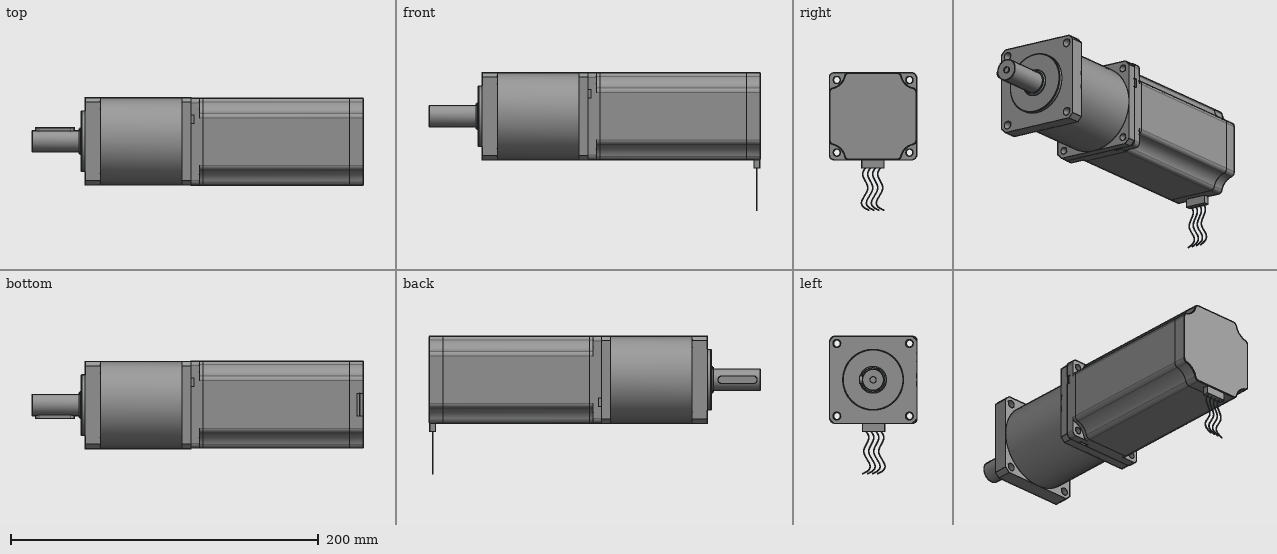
import cadquery as cq


overall_length = 215.5
collar_face_x = 30.5
pilot_face_x = 32.0
front_flange_x = 34.5
barrel_x = 44.5
rear_flange_x = 97.5
motor_x = 103.5
stator_x = 111.2
rear_cap_x = 206.5

gearbox_side = 56.9
gearbox_corner_chamfer = 3.0
barrel_diameter = gearbox_side
pilot_diameter = 39.7
pilot_chamfer = 0.5
collar_diameter = 17.5
collar_chamfer = 0.9
bolt_spacing = 47.2
front_hole_diameter = 5.2
rear_hole_diameter = 4.5

shaft_diameter = 14.0
shaft_end_x = barrel_x
shaft_tip_chamfer = 0.2
center_hole_diameter = 4.0
center_hole_depth = 0.6
key_start_x = 2.2
key_length = 25.5
key_width = 5.0
key_bottom_y = 4.0
key_top_y = 8.8

motor_side = 56.7
motor_offset_y = -0.32
rear_edge_chamfer = 0.5
front_cap_corner_radius = 3.0
groove_start_x = 108.8
groove_radius = 10.1
groove_edge_radius = 3.0
notch_length_x = 2.0
notch_width = 5.5
notch_offset = 14.7
notch_depth = 1.0

plug_length_x = 3.9
plug_width = 14.7
plug_height = 5.4
plug_center_x = 213.1
wire_diameter = 0.5
wire_count = 4
wire_pitch = 3.2
wire_end_z = -61.0
wire_bends = [(0, 0), (-1.7, 0.16), (1.5, 0.47), (-2.5, 0.82), (2.2, 1)]


def square_prism(side, start_x, end_x):
    """A square bar centred on the axis."""
    return cq.Workplane("YZ").workplane(offset=start_x).rect(side, side).extrude(end_x - start_x)


def disc(diameter, start_x, end_x):
    """A cylinder centred on the axis."""
    return cq.Workplane("YZ").workplane(offset=start_x).circle(diameter / 2).extrude(end_x - start_x)


def bolt_cylinders(diameter, start_x, end_x):
    """Four cylinders on the square bolt pattern."""
    return (
        cq.Workplane("YZ").workplane(offset=start_x)
        .rect(bolt_spacing, bolt_spacing, forConstruction=True).vertices()
        .circle(diameter / 2).extrude(end_x - start_x)
    )


def gearbox_flange(start_x, end_x, hole_diameter):
    """A square plate with chamfered corners and four bolt holes."""
    plate = square_prism(gearbox_side, start_x, end_x).edges("|X").chamfer(gearbox_corner_chamfer)
    return plate.cut(bolt_cylinders(hole_diameter, start_x, end_x))


def make_gearbox():
    """Two flanges joined by a round barrel, with a pilot, a collar and a bore for the shaft."""
    collar = disc(collar_diameter, collar_face_x, front_flange_x).faces("<X").chamfer(collar_chamfer)
    pilot = disc(pilot_diameter, pilot_face_x, front_flange_x).faces("<X").chamfer(pilot_chamfer)
    return (
        gearbox_flange(front_flange_x, barrel_x, front_hole_diameter)
        .union(disc(barrel_diameter, barrel_x, rear_flange_x))
        .union(gearbox_flange(rear_flange_x, motor_x, rear_hole_diameter))
        .union(pilot)
        .union(collar)
        .cut(disc(shaft_diameter, collar_face_x, shaft_end_x))
    )


def make_key():
    """A parallel key with round ends, standing out of the shaft towards +Y."""
    return (
        cq.Workplane("XZ", origin=(key_start_x + key_length / 2, key_bottom_y, 0))
        .slot2D(key_length, key_width)
        .extrude(key_bottom_y - key_top_y)
    )


def make_shaft(key):
    """The output shaft, with a centre hole in its tip and a seat for the key."""
    return (
        disc(shaft_diameter, 0, shaft_end_x)
        .faces("<X").chamfer(shaft_tip_chamfer)
        .cut(disc(center_hole_diameter, 0, center_hole_depth))
        .cut(key)
    )


def grooved_bar(start_x, end_x):
    """A square bar with a round groove along each corner, the lips of the grooves rounded."""
    grooves = (
        cq.Workplane("YZ").workplane(offset=start_x)
        .rect(motor_side, motor_side, forConstruction=True).vertices()
        .circle(groove_radius).extrude(end_x - start_x)
    )
    return square_prism(motor_side, start_x, end_x).cut(grooves).edges("|X").fillet(groove_edge_radius)


def make_front_cap():
    """The motor's mounting plate, grooved at the back, with bolt holes and a notch in each side."""
    plate = square_prism(motor_side, motor_x, groove_start_x).edges("|X").fillet(front_cap_corner_radius)
    cap = plate.union(grooved_bar(groove_start_x, stator_x))
    cap = cap.cut(bolt_cylinders(rear_hole_diameter, motor_x, groove_start_x))
    notch = cq.Workplane("XY").box(notch_length_x, notch_width, notch_depth, centered=(False, True, False))
    notch = notch.translate((motor_x, notch_offset, motor_side / 2 - notch_depth))
    for quarter in range(4):
        cap = cap.cut(notch.rotate((0, 0, 0), (1, 0, 0), 90 * quarter))
    return cap


def make_rear_cap():
    """The grooved end of the motor, with its rear edges broken."""
    return grooved_bar(rear_cap_x, overall_length).faces(">X").chamfer(rear_edge_chamfer)


def make_cable():
    """A plug under the rear cap with a row of wavy wires hanging from it."""
    plug_top_z = -motor_side / 2
    plug_bottom_z = plug_top_z - plug_height
    cable = (
        cq.Workplane("XY", origin=(plug_center_x, 0, plug_bottom_z))
        .rect(plug_length_x, plug_width).extrude(plug_height)
    )
    wire_length = plug_bottom_z - wire_end_z
    for wire in range(wire_count):
        start_y = (wire - (wire_count - 1) / 2) * wire_pitch
        bends = [(start_y + swing, plug_bottom_z - drop * wire_length) for swing, drop in wire_bends]
        path = cq.Workplane("YZ", origin=(plug_center_x, 0, 0)).spline(bends)
        section = cq.Workplane("XY", origin=(plug_center_x, start_y, plug_bottom_z)).circle(wire_diameter / 2)
        cable = cable.union(section.sweep(path))
    return cable


gearbox = make_gearbox()
key = make_key()
shaft = make_shaft(key)

motor_shift = (0, motor_offset_y, 0)
front_cap = make_front_cap().translate(motor_shift)
stator = grooved_bar(stator_x, rear_cap_x).translate(motor_shift)
rear_cap = make_rear_cap().translate(motor_shift)
cable = make_cable().translate(motor_shift)

bodies = [gearbox, shaft, key, front_cap, stator, rear_cap, cable]
result = cq.Compound.makeCompound([body.val() for body in bodies])